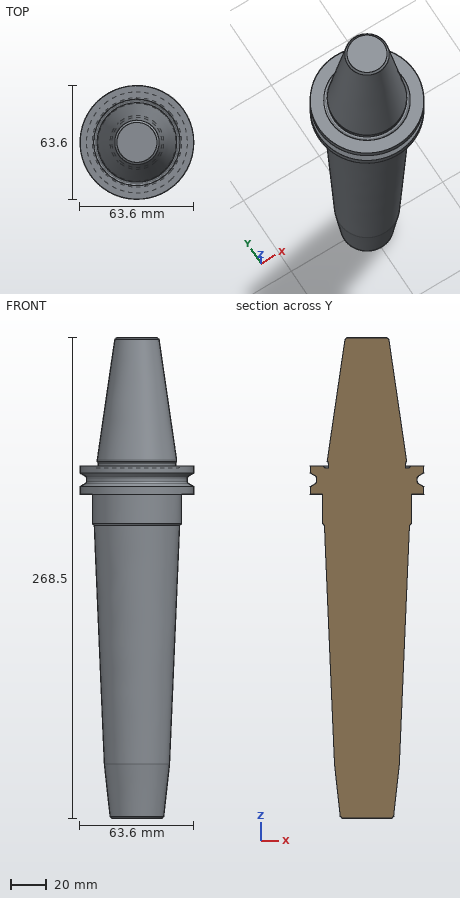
import cadquery as cq
import math

TOTAL_HEIGHT = 268.5
NOSE_TOP = 30.3
COLLAR_BOTTOM = 163.5
FLANGE_BOTTOM = 181.0
FLANGE_TOP = 196.7
GAUGE_HEIGHT = 200.0

NOSE_TIP_RADIUS = 15.0
NOSE_TOP_RADIUS = 18.3
BODY_TOP_RADIUS = 24.0
COLLAR_RADIUS = 25.0
FLANGE_RADIUS = 31.8
GAUGE_RADIUS = 22.22

NOSE_CHAMFER = 1.0
COLLAR_CHAMFER = 1.0
TAPER_CHAMFER = 1.0

TAPER_SLOPE = 7 / 48
TAPER_TOP_RADIUS = GAUGE_RADIUS - TAPER_SLOPE * (TOTAL_HEIGHT - GAUGE_HEIGHT)

TAPER_LAND = 0.67
LAND_CHAMFER_HEIGHT = 0.8
NECK_RADIUS = 21.7
RELIEF_RADIUS = 24.2
RELIEF_CORNER_RADIUS = 1.0

GROOVE_CENTER = 189.0
GROOVE_WIDTH = 7.5
GROOVE_FLOOR_RADIUS = 28.2
GROOVE_ANGLE = 60
GROOVE_FILLET = 1.0


def revolve_profile(points):
    """Revolve a closed (radius, height) outline about the Z axis."""
    return cq.Workplane("XZ").polyline(points).close().revolve(360, (0, 0), (0, 1))


def make_shank():
    """Tapered nose and body, collar, plain flange and spindle taper."""
    return revolve_profile([
        (0, 0),
        (NOSE_TIP_RADIUS - NOSE_CHAMFER, 0),
        (NOSE_TIP_RADIUS, NOSE_CHAMFER),
        (NOSE_TOP_RADIUS, NOSE_TOP),
        (BODY_TOP_RADIUS, COLLAR_BOTTOM),
        (COLLAR_RADIUS, COLLAR_BOTTOM + COLLAR_CHAMFER),
        (COLLAR_RADIUS, FLANGE_BOTTOM),
        (FLANGE_RADIUS, FLANGE_BOTTOM),
        (FLANGE_RADIUS, FLANGE_TOP),
        (GAUGE_RADIUS, FLANGE_TOP),
        (GAUGE_RADIUS, GAUGE_HEIGHT),
        (TAPER_TOP_RADIUS + TAPER_SLOPE * TAPER_CHAMFER, TOTAL_HEIGHT - TAPER_CHAMFER),
        (TAPER_TOP_RADIUS - TAPER_CHAMFER, TOTAL_HEIGHT),
        (0, TOTAL_HEIGHT),
    ])


def make_gripper_groove():
    """V-shaped ring with a flat floor and rounded corners, cut into the flange rim."""
    half_width = GROOVE_WIDTH / 2
    flank_rise = (FLANGE_RADIUS - GROOVE_FLOOR_RADIUS) * math.tan(math.radians(GROOVE_ANGLE / 2))
    half_floor = half_width - flank_rise
    ring = revolve_profile([
        (FLANGE_RADIUS, GROOVE_CENTER - half_width),
        (FLANGE_RADIUS, GROOVE_CENTER + half_width),
        (GROOVE_FLOOR_RADIUS, GROOVE_CENTER + half_floor),
        (GROOVE_FLOOR_RADIUS, GROOVE_CENTER - half_floor),
    ])
    floor_edges = cq.selectors.RadiusNthSelector(0)
    return ring.edges(floor_edges).fillet(GROOVE_FILLET)


def make_neck_relief():
    """Ring that undercuts the taper base and sinks into the flange face."""
    bottom = FLANGE_TOP - RELIEF_CORNER_RADIUS
    land_bottom = GAUGE_HEIGHT - TAPER_LAND
    arc_center_radius = RELIEF_RADIUS - RELIEF_CORNER_RADIUS
    arc_offset = RELIEF_CORNER_RADIUS * math.sqrt(0.5)
    return (
        cq.Workplane("XZ")
        .moveTo(NECK_RADIUS, bottom)
        .lineTo(arc_center_radius, bottom)
        .threePointArc(
            (arc_center_radius + arc_offset, FLANGE_TOP - arc_offset),
            (RELIEF_RADIUS, FLANGE_TOP),
        )
        .lineTo(RELIEF_RADIUS, land_bottom)
        .lineTo(GAUGE_RADIUS, land_bottom)
        .lineTo(NECK_RADIUS, land_bottom - LAND_CHAMFER_HEIGHT)
        .close()
        .revolve(360, (0, 0), (0, 1))
    )


result = make_shank().cut(make_gripper_groove()).cut(make_neck_relief())